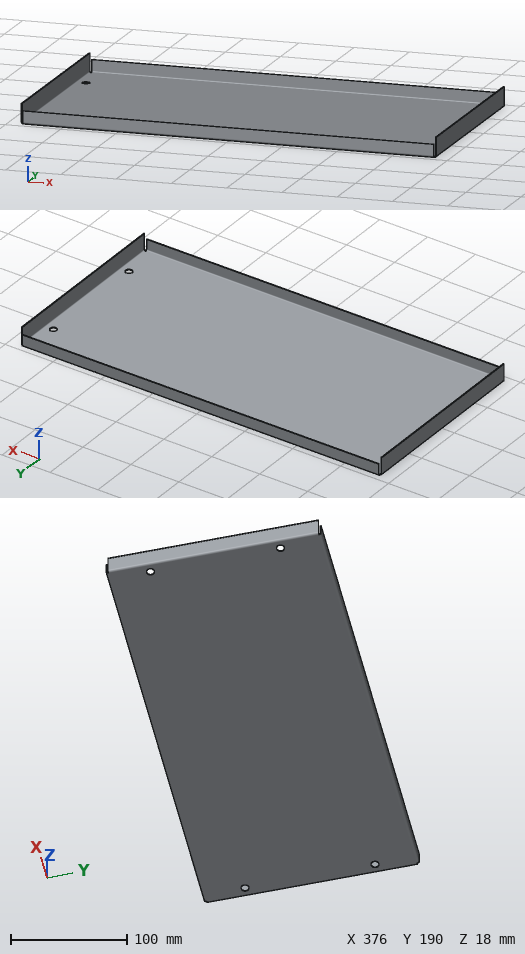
import cadquery as cq

length = 376.0
width = 190.0
end_height = 18.0
side_height = 12.0

thickness = 1.0
inner_radius = 1.0
outer_radius = inner_radius + thickness

hole_diameter = 6.8
hole_spacing_x = 358.0
hole_spacing_y = 114.5

flat_length = length - 2 * outer_radius
flat_width = width - 2 * outer_radius


def rounded_bar(plane, bend_axis, span, height, depth, base_z, radius):
    """Bar along the bend axis, with both of its lower edges rounded."""
    return (
        cq.Workplane(plane)
        .center(0, base_z + height / 2)
        .rect(span, height)
        .extrude(depth / 2, both=True)
        .edges("<Z")
        .edges("|" + bend_axis)
        .fillet(radius)
    )


def channel(plane, bend_axis, span, height, depth):
    """Bent U-section of sheet, with a flange at each end of the span."""
    outside = rounded_bar(plane, bend_axis, span, height, depth, 0, outer_radius)
    inner_span = span - 2 * thickness
    inside = rounded_bar(plane, bend_axis, inner_span, height, depth, thickness, inner_radius)
    return outside.cut(inside)


end_channel = channel("XZ", "Y", length, end_height, flat_width)
side_channel = channel("YZ", "X", width, side_height, flat_length)

tray = end_channel.union(side_channel)

holes = (
    cq.Workplane("XY")
    .rect(hole_spacing_x, hole_spacing_y, forConstruction=True)
    .vertices()
    .circle(hole_diameter / 2)
    .extrude(thickness)
)

result = tray.cut(holes)